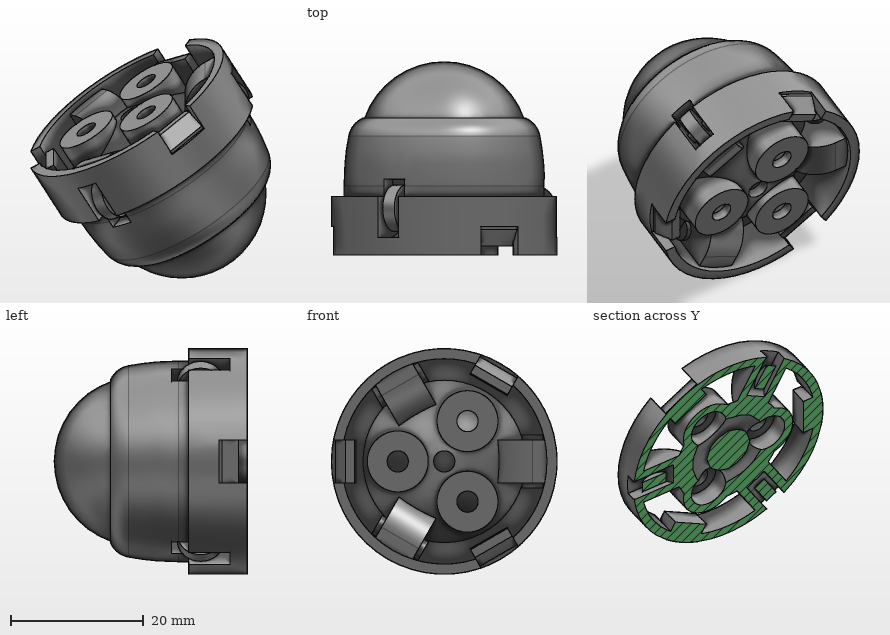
import cadquery as cq


ball_radius = 12.7
overall_depth = 29.1
ball_y = overall_depth - ball_radius

rim_radius = 17.0
rim_inner_radius = 15.47
rim_top_y = 8.85
window_outer_radius = 17.35

cup_radius = 15.13
cup_straight_top_y = 10.37
cup_shoulder_radius = 14.4
cup_shoulder_y = 17.92
cup_lip_radius = 12.3
cup_top_y = 20.6
floor_y = 7.15
shell_radius = 15.35
socket_radius = 13.7

boss_radius = 4.6
boss_spacing_radius = 7.0
hole_radius = 1.6
screw_head_radius = 3.05
screw_seat_y = 1.5

roller_radius = 3.5
roller_width = 2.0
roller_axis_radius = 13.3
roller_axis_y = 7.05
cavity_radius = 4.4
cavity_width = 3.57
housing_radius = 6.2
housing_width = 6.45
pin_radius = 0.85
pin_boss_radius = 1.6
pin_boss_length = 8.02

clip_width = 6.45
notch_depth = 4.3
clip_front_y = 1.33
clip_step_y = 3.85
clip_outer_radius = 16.35
clip_nose_radius = 14.85
clip_inner_radius = 13.5
clip_root_radius = 13.33

roller_angles = (0, 120, 240)
boss_angles = (60, 180, 300)


def at_angles(solid, angles):
    """Copies of a solid drawn at +X, turned about the caster axis and joined."""
    copies = cq.Workplane("XY")
    for angle in angles:
        copies = copies.union(solid.rotate((0, 0, 0), (0, 1, 0), angle))
    return copies


def ball(radius):
    return cq.Workplane("XY").sphere(radius).translate((0, ball_y, 0))


def disc(radius, start_y, end_y, x=0):
    """Cylinder along Y."""
    return cq.Workplane("XZ", origin=(x, start_y, 0)).circle(radius).extrude(start_y - end_y)


def roller_cylinder(radius, width):
    """Cylinder on the roller axis, centred on its width."""
    start = (roller_axis_radius, roller_axis_y, -width / 2)
    return cq.Workplane("XY", origin=start).circle(radius).extrude(width)


def radial_profile(points, width):
    """Prism across the radius at +X, from (radius, Y) points, centred on its width."""
    return cq.Workplane("XY", origin=(0, 0, -width / 2)).polyline(points).close().extrude(width)


def radial_block(inner_radius, outer_radius, start_y, end_y, width):
    corners = [(inner_radius, start_y), (outer_radius, start_y), (outer_radius, end_y), (inner_radius, end_y)]
    return radial_profile(corners, width)


def cup():
    """Revolved rim and body with a domed shell over the ball."""
    body = (
        cq.Workplane("XY")
        .moveTo(0, floor_y)
        .lineTo(rim_inner_radius, floor_y)
        .lineTo(rim_inner_radius, 0)
        .lineTo(rim_radius, 0)
        .lineTo(rim_radius, rim_top_y)
        .lineTo(cup_radius, rim_top_y)
        .lineTo(cup_radius, cup_straight_top_y)
        .tangentArcPoint((cup_shoulder_radius, cup_shoulder_y), relative=False)
        .tangentArcPoint((cup_lip_radius, cup_top_y), relative=False)
        .lineTo(0, cup_top_y)
        .close()
        .revolve(360, (0, 0, 0), (0, 1, 0))
    )
    dome = ball(shell_radius).intersect(disc(rim_radius, 0, rim_top_y))
    return body.union(dome)


def roller_housing():
    """Rounded cover over a roller, with a bulge at each end for the pin."""
    cover = roller_cylinder(housing_radius, housing_width)
    front_y = roller_axis_y - housing_radius
    flat = radial_block(roller_axis_radius, rim_radius, front_y, rim_top_y, housing_width)
    cover = cover.union(flat)
    cover = cover.union(roller_cylinder(pin_boss_radius, pin_boss_length))
    return cover.intersect(disc(rim_inner_radius, 0, rim_top_y))


def roller_cavity():
    """Slot around a roller, open to the ball and to the outside of the rim and body."""
    low_y = roller_axis_y - cavity_radius
    high_y = roller_axis_y + cavity_radius
    window = radial_block(roller_axis_radius, window_outer_radius, low_y, high_y, cavity_width)
    return roller_cylinder(cavity_radius, cavity_width).union(window)


def roller():
    return roller_cylinder(roller_radius, roller_width).union(roller_cylinder(pin_radius, housing_width))


def clip():
    """Hook that stands on the cup floor and slopes outward in its notch."""
    outline = [
        (clip_root_radius, floor_y),
        (clip_inner_radius, clip_front_y),
        (clip_nose_radius, clip_front_y),
        (clip_outer_radius, clip_step_y),
        (clip_outer_radius, floor_y),
    ]
    return radial_profile(outline, clip_width)


def screw_hole():
    """Through hole in a boss, widened behind the seat for the screw head."""
    hole = disc(hole_radius, 0, ball_y, boss_spacing_radius)
    return hole.union(disc(screw_head_radius, screw_seat_y, ball_y, boss_spacing_radius))


def socket():
    """Clearance behind the ball; in front of its centre the cup grips the ball."""
    return ball(socket_radius).intersect(disc(rim_radius, 0, ball_y))


notch = radial_block(clip_inner_radius, window_outer_radius, 0, notch_depth, clip_width)
boss = disc(boss_radius, 0, floor_y, boss_spacing_radius)

result = cup()
result = result.cut(at_angles(notch, boss_angles))
result = result.union(at_angles(clip(), boss_angles))
result = result.union(at_angles(boss, boss_angles))
result = result.union(at_angles(roller_housing(), roller_angles))
result = result.cut(at_angles(screw_hole(), boss_angles))
result = result.cut(disc(hole_radius, 0, ball_y))
result = result.cut(socket())
result = result.cut(at_angles(roller_cavity(), roller_angles))
result = result.union(at_angles(roller(), roller_angles))
result = result.union(ball(ball_radius))